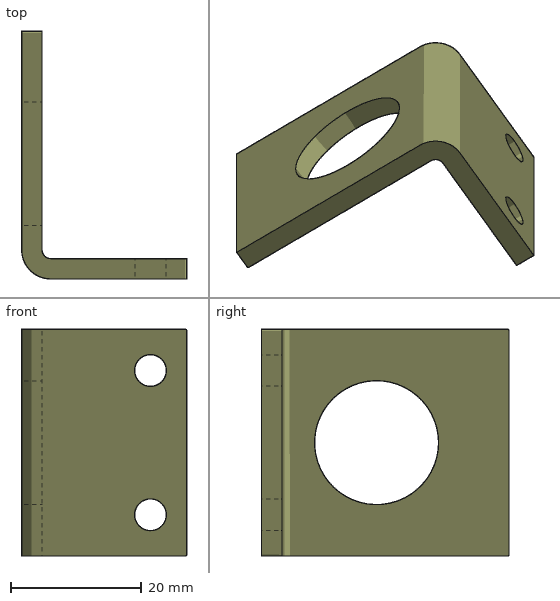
import cadquery as cq

length_x = 25.4
length_y = 38.1
height = 34.9

thickness = 3.15
inner_bend_radius = 1.35
outer_bend_radius = inner_bend_radius + thickness
corner_radius = 0.3

large_hole_diameter = 19.0
large_hole_y = 17.7

small_hole_diameter = 4.85
small_hole_x = 19.8
small_hole_spacing = 22.17

mid_height = height / 2


def bent_sheet():
    """L profile extruded upward, with concentric inner and outer bends."""
    profile = (
        cq.Workplane("XY")
        .polyline([
            (0, 0),
            (length_x, 0),
            (length_x, thickness),
            (thickness, thickness),
            (thickness, length_y),
            (0, length_y),
        ])
        .close()
        .extrude(height)
    )
    outer_bend = cq.selectors.NearestToPointSelector((0, 0, mid_height))
    inner_bend = cq.selectors.NearestToPointSelector((thickness, thickness, mid_height))
    sheet = profile.edges(outer_bend).fillet(outer_bend_radius)
    return sheet.edges(inner_bend).fillet(inner_bend_radius)


def round_leg_corners(sheet):
    """Break the top and bottom corners at the free end of each leg."""
    sheet = sheet.faces(">X").edges("|Y").fillet(corner_radius)
    return sheet.faces(">Y").edges("|X").fillet(corner_radius)


def large_hole():
    return (
        cq.Workplane("YZ")
        .center(large_hole_y, mid_height)
        .circle(large_hole_diameter / 2)
        .extrude(thickness)
    )


def small_holes():
    return (
        cq.Workplane("XZ")
        .center(small_hole_x, mid_height)
        .rarray(0.4, small_hole_spacing, 1, 2)
        .circle(small_hole_diameter / 2)
        .extrude(-thickness)
    )


bracket = round_leg_corners(bent_sheet())
result = bracket.cut(large_hole()).cut(small_holes())